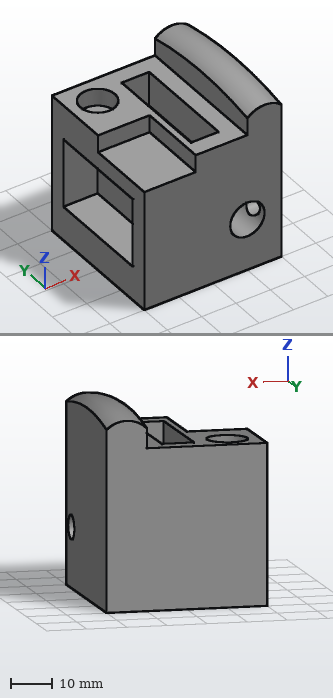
import cadquery as cq

side = 40.0
height = 49.0
wall = 5.0
ridge_width = 10.0
crown_drop = 1.95
crest_drop = 2.0

notch_length = 15.0
notch_width = side / 2
notch_depth = 5.0

slot_start = 17.0
slot_width = 8.0
slot_depth = 10.0

pocket_bottom = 10.0
pocket_height = 20.0
pocket_depth = 10.0

bore_diameter = 10.0
top_bore_inset = 8.0
top_bore_depth = 5.0
front_bore_inset = 10.0
front_bore_height = 15.0
front_bore_depth = 10.0

cross_hole_diameter = 6.02

opening_length = side - 2 * wall


def corner_box(origin, size):
    """Box with its lowest corner at origin."""
    return cq.Workplane("XY").box(*size, centered=False).translate(origin)


def cylinder(start, direction, diameter, length):
    """Cylinder growing from start along direction."""
    return cq.Workplane(
        cq.Solid.makeCylinder(diameter / 2, length, cq.Vector(*start), cq.Vector(*direction))
    )


def crowned_ridge():
    """Ridge along the +X edge, rounded across its width and arched along its length."""
    ridge_start = side - ridge_width
    ridge_middle = side - ridge_width / 2
    shoulder = height - crown_drop
    crest_radius = ((side / 2) ** 2 + crest_drop**2) / (2 * crest_drop)
    axis_z = height - crest_radius
    arched = (
        cq.Workplane("XZ", origin=(0, side / 2, 0))
        .moveTo(ridge_start, axis_z)
        .lineTo(ridge_start, shoulder)
        .threePointArc((ridge_middle, height), (side, shoulder))
        .lineTo(side, axis_z)
        .close()
        .revolve(360, (0, axis_z, 0), (1, axis_z, 0))
    )
    blank = corner_box((ridge_start, 0, 0), (ridge_width, side, height))
    return blank.intersect(arched)


body = corner_box((0, 0, 0), (side, side, side)).union(crowned_ridge())

notch = corner_box((0, 0, side - notch_depth), (notch_length, notch_width, notch_depth))
slot = corner_box((slot_start, wall, side - slot_depth), (slot_width, opening_length, slot_depth))
pocket = corner_box((0, wall, pocket_bottom), (pocket_depth, opening_length, pocket_height))

top_bore = cylinder(
    (top_bore_inset, side - top_bore_inset, side), (0, 0, -1), bore_diameter, top_bore_depth
)
front_bore_x = side - front_bore_inset
front_bore = cylinder(
    (front_bore_x, 0, front_bore_height), (0, 1, 0), bore_diameter, front_bore_depth
)

cross_hole = cylinder(
    (side, front_bore_depth / 2, front_bore_height), (-1, 0, 0), cross_hole_diameter, front_bore_inset
)

result = body
for cut in (notch, slot, pocket, top_bore, front_bore, cross_hole):
    result = result.cut(cut)